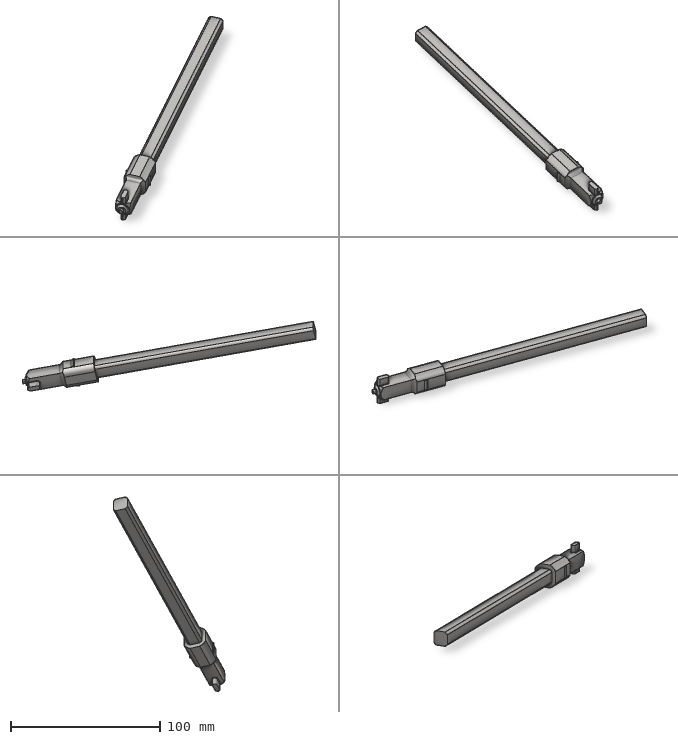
import cadquery as cq

length = 200.0
fin_span = 20.0
barb_span = 17.2
tip_y = -length / 2
tail_y = length / 2

cone_front = 2.0
neck_front = 3.5
fin_rear = 11.5
shoulder_end = 26.2
barb_foot = 34.8
barb_peak = 36.2
barb_rear = 37.0
collar_rear = 50.2

body_side = 10.2
shaft_diameter = 12.2
collar_diameter = 17.5
collar_width = 15.5
collar_height = 16.2
shoulder_radius = 3.0
collar_front = shoulder_end + shoulder_radius

pin_radius = 1.5
cone_radius_front = 2.5
cone_radius_rear = cone_radius_front + neck_front - cone_front
corner_cone_radius = 4.9

fin_thickness = 3.2
fin_chamfer_width = 1.2
fin_chamfer_length = 1.2
recess_clearance = 0.5
recess_depth = 0.5

barb_height = 8.0


def at(distance):
    """Y coordinate a given distance behind the tip."""
    return tip_y + distance


def section(y):
    """Sketch plane across the tool axis, facing +Y, with Z up."""
    return cq.Workplane(cq.Plane(origin=(0, y, 0), xDir=(-1, 0, 0), normal=(0, 1, 0)))


def flatted_bar(front_y, rear_y, diameter, width, height):
    """Round bar with flats on its four sides."""
    bar_length = rear_y - front_y
    round_bar = section(front_y).circle(diameter / 2).extrude(bar_length)
    flats = section(front_y).rect(width, height).extrude(bar_length)
    return round_bar.intersect(flats)


def flare(plane):
    """Shoulder profile with concave arcs, seen across the tool axis."""
    half = body_side / 2
    wide = half + shoulder_radius
    arc_mid = shoulder_radius * (1 - 0.5 ** 0.5)
    front_y = at(shoulder_end)
    rear_y = at(collar_front)
    profile = (
        cq.Workplane(plane)
        .moveTo(half, front_y)
        .threePointArc((half + arc_mid, rear_y - arc_mid), (wide, rear_y))
        .lineTo(-wide, rear_y)
        .threePointArc((-half - arc_mid, rear_y - arc_mid), (-half, front_y))
        .close()
    )
    return profile.extrude(wide, both=True)


def shoulder():
    """Mitred concave flare, trimmed to the outline of the collar."""
    across_z = cq.Plane(origin=(0, 0, 0), xDir=(0, 0, 1), normal=(-1, 0, 0))
    envelope = flatted_bar(
        at(shoulder_end), at(collar_front), collar_diameter, collar_width, collar_height
    )
    return flare("XY").intersect(flare(across_z)).intersect(envelope)


def neck():
    """Square neck whose front corners are trimmed by a 45 degree cone."""
    neck_length = collar_front - neck_front
    block = section(at(neck_front)).rect(body_side, body_side).extrude(neck_length)
    trim = (
        cq.Workplane("XY")
        .moveTo(0, at(neck_front))
        .lineTo(corner_cone_radius, at(neck_front))
        .lineTo(corner_cone_radius + neck_length, at(collar_front))
        .lineTo(0, at(collar_front))
        .close()
        .revolve(360, (0, 0, 0), (0, 1, 0))
    )
    return block.intersect(trim)


def nose():
    """Cone and pin, turned about the tool axis."""
    return (
        cq.Workplane("XY")
        .moveTo(0, tip_y)
        .lineTo(pin_radius, tip_y)
        .lineTo(pin_radius, at(cone_front))
        .lineTo(cone_radius_front, at(cone_front))
        .lineTo(cone_radius_rear, at(neck_front))
        .lineTo(0, at(neck_front))
        .close()
        .revolve(360, (0, 0, 0), (0, 1, 0))
    )


def recesses():
    """Shallow round-ended slots, open at the front, above and below the neck."""
    half = fin_thickness / 2 + recess_clearance
    rear = fin_rear + recess_clearance
    slot = (
        cq.Workplane("XY")
        .moveTo(-half, at(neck_front))
        .lineTo(half, at(neck_front))
        .lineTo(half, at(rear - half))
        .threePointArc((0, at(rear)), (-half, at(rear - half)))
        .close()
        .extrude(body_side / 2, both=True)
    )
    core = cq.Workplane("XY").box(body_side, length, body_side - 2 * recess_depth)
    return slot.cut(core)


def fins():
    """Upper and lower fins in one blade: chamfered front, rounded rear."""
    half = fin_thickness / 2
    front_half = half - fin_chamfer_width
    chamfer_end = neck_front + fin_chamfer_length
    blade = (
        cq.Workplane("XY")
        .moveTo(-front_half, at(neck_front))
        .lineTo(front_half, at(neck_front))
        .lineTo(half, at(chamfer_end))
        .lineTo(half, at(fin_rear - half))
        .threePointArc((0, at(fin_rear)), (-half, at(fin_rear - half)))
        .lineTo(-half, at(chamfer_end))
        .close()
        .extrude(fin_span / 2, both=True)
    )
    core_side = body_side - 2 * recess_depth
    return blade.cut(cq.Workplane("XY").box(core_side, length, core_side))


def barbs():
    """Ratchet-shaped ridge on each side of the collar."""
    base = collar_width / 2
    peak = barb_span / 2
    ridge = (
        cq.Workplane("XY")
        .moveTo(0, at(barb_foot))
        .lineTo(base, at(barb_foot))
        .lineTo(peak, at(barb_peak))
        .lineTo(peak, at(barb_rear))
        .lineTo(0, at(barb_rear))
        .close()
        .extrude(barb_height / 2, both=True)
    )
    return ridge.union(ridge.mirror("YZ"))


shaft = flatted_bar(at(collar_rear), tail_y, shaft_diameter, body_side, body_side)
collar = flatted_bar(
    at(collar_front), at(collar_rear), collar_diameter, collar_width, collar_height
)

result = (
    neck()
    .cut(recesses())
    .union(nose())
    .union(fins())
    .union(shoulder())
    .union(collar)
    .union(barbs())
    .union(shaft)
)